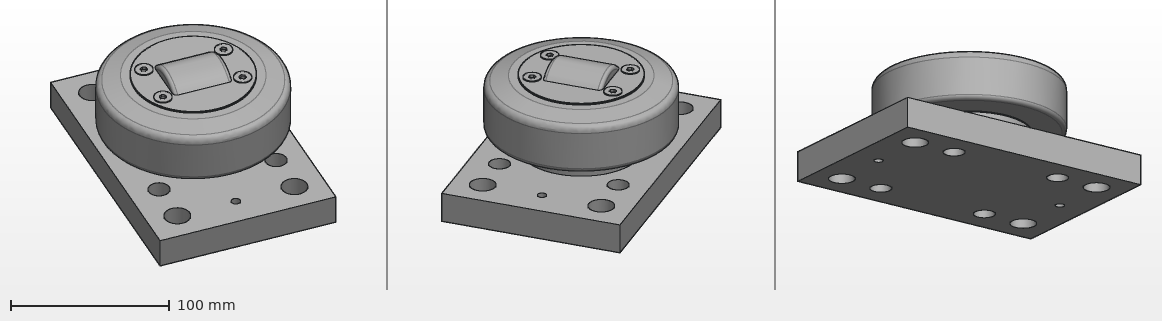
import cadquery as cq
import math

plate_length = 180.0
plate_width = 120.0
plate_thickness = 20.0
hole_depth = plate_thickness
bolt_hole_diameter = 17.0
bolt_hole_x = 70.0
bolt_hole_y = 40.0
inner_hole_diameter = 13.9
inner_hole_offset = bolt_hole_y
pin_hole_diameter = 6.0

hub_diameter = 80.0
hub_edge_chamfer = 0.4
hub_top = 71.8
neck_top = 33.1
neck_relief_depth = 0.4

roller_radius = 123.0 / 2
roller_bottom = 33.8
roller_top = 70.7
roller_flat_radius = 45.9
roller_cone_angle = 17.5
roller_top_fillet = 5.4
roller_bottom_fillet = 2.9

side_roller_top = 79.0
side_roller_radius = 23.4
side_roller_length = 40.1
side_roller_fillet = 2.5

screw_diameter = 11.7
screw_x = 15.7
screw_y = 27.2
screw_top = 72.5
socket_corner_diameter = 4.7
socket_depth = 1.8


def four_corners(x, y):
    return [(sx * x, sy * y) for sx in (-1, 1) for sy in (-1, 1)]


def make_plate():
    plate = cq.Workplane("XY").box(plate_length, plate_width, plate_thickness, centered=(True, True, False))
    hole_groups = [
        (bolt_hole_diameter, four_corners(bolt_hole_x, bolt_hole_y)),
        (inner_hole_diameter, four_corners(inner_hole_offset, inner_hole_offset)),
        (pin_hole_diameter, [(-bolt_hole_x, 0), (bolt_hole_x, 0)]),
    ]
    for diameter, places in hole_groups:
        holes = cq.Workplane("XY").pushPoints(places).circle(diameter / 2).extrude(hole_depth)
        plate = plate.cut(holes)
    return plate


def make_hub():
    hub = cq.Workplane("XY").workplane(offset=plate_thickness)
    hub = hub.circle(hub_diameter / 2).extrude(hub_top - plate_thickness)
    hub = hub.faces(">Z").edges().chamfer(hub_edge_chamfer)
    relief = cq.Workplane("XY").workplane(offset=neck_top)
    relief = relief.circle(hub_diameter / 2).circle(hub_diameter / 2 - neck_relief_depth)
    return hub.cut(relief.extrude(roller_bottom - neck_top))


def make_roller():
    cone_drop = (roller_radius - roller_flat_radius) * math.tan(math.radians(roller_cone_angle))
    shoulder = roller_top - cone_drop
    profile = (
        cq.Workplane("XZ")
        .moveTo(0, roller_bottom)
        .lineTo(roller_radius, roller_bottom)
        .lineTo(roller_radius, shoulder)
        .lineTo(roller_flat_radius, roller_top)
        .lineTo(0, roller_top)
        .close()
    )
    roller = profile.revolve(360, (0, 0, 0), (0, 1, 0))
    roller = roller.edges("<Z").fillet(roller_bottom_fillet)
    widest_circles = roller.edges(cq.selectors.RadiusNthSelector(-1))
    return widest_circles.edges(">Z").fillet(roller_top_fillet)


def make_side_roller():
    axis_height = side_roller_top - side_roller_radius
    side_roller = cq.Workplane("XZ").center(0, axis_height).circle(side_roller_radius)
    side_roller = side_roller.extrude(side_roller_length / 2, both=True)
    side_roller = side_roller.edges("%CIRCLE").fillet(side_roller_fillet)
    upper_half = cq.Workplane("XY").workplane(offset=axis_height)
    upper_half = upper_half.rect(hub_diameter, hub_diameter).extrude(side_roller_radius)
    return side_roller.intersect(upper_half)


screw_places = four_corners(screw_x, screw_y)
screw_heads = (
    cq.Workplane("XY").workplane(offset=roller_top)
    .pushPoints(screw_places).circle(screw_diameter / 2).extrude(screw_top - roller_top)
)
sockets = (
    cq.Workplane("XY").workplane(offset=screw_top)
    .pushPoints(screw_places).polygon(6, socket_corner_diameter).extrude(-socket_depth)
)

result = make_plate().union(make_hub()).union(make_roller()).union(make_side_roller())
result = result.union(screw_heads).cut(sockets)